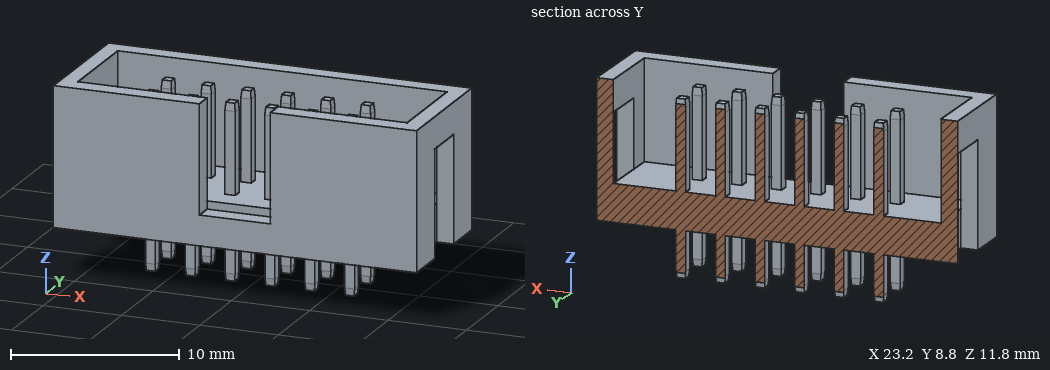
import cadquery as cq

length = 23.18
depth = 8.8
height = 8.85
end_wall = 1.1
side_wall = 1.23
floor_height = 2.43

notch_width = 4.52
notch_drop = 0.5

slot_width = 3.0
slot_top_gap = 2.02

columns = 6
rows = 2
column_span = 12.7
pitch = column_span / (columns - 1)
pin_offset_x = -0.16
pin_width = 0.65
pin_tip_width = 0.55
pin_tip_length = 0.49
pin_below = 2.95
pin_top_gap = 0.7

cavity_length = length - 2 * end_wall
cavity_depth = depth - 2 * side_wall
pin_bottom = -pin_below
pin_top = height - pin_top_gap


def block(size_x, size_y, bottom, top):
    """Box centred in X and Y between two heights."""
    box = cq.Workplane("XY").box(size_x, size_y, top - bottom, centered=(True, True, False))
    return box.translate((0, 0, bottom))


def make_shroud():
    body = block(length, depth, 0, height)
    body = body.cut(block(cavity_length, cavity_depth, floor_height, height))

    notch = block(notch_width, side_wall, floor_height - notch_drop, height)
    body = body.cut(notch.translate((0, (side_wall - depth) / 2, 0)))

    slot = block(end_wall, slot_width, 0, height - slot_top_gap)
    for side in (-1, 1):
        body = body.cut(slot.translate((side * (length - end_wall) / 2, 0, 0)))
    return body


def make_pin_tip(shoulder, direction):
    """Tapered pin end growing from the shoulder, up (1) or down (-1)."""
    return (
        cq.Workplane("XY", origin=(0, 0, shoulder))
        .rect(pin_width, pin_width)
        .workplane(offset=direction * pin_tip_length)
        .rect(pin_tip_width, pin_tip_width)
        .loft(ruled=True)
    )


def make_pin():
    lower_shoulder = pin_bottom + pin_tip_length
    upper_shoulder = pin_top - pin_tip_length
    shank = block(pin_width, pin_width, lower_shoulder, upper_shoulder)
    return shank.union(make_pin_tip(lower_shoulder, -1)).union(make_pin_tip(upper_shoulder, 1))


result = make_shroud()
pin = make_pin()
for column in range(columns):
    for row in range(rows):
        x = pin_offset_x + (column - (columns - 1) / 2) * pitch
        y = (row - (rows - 1) / 2) * pitch
        result = result.union(pin.translate((x, y, 0)))